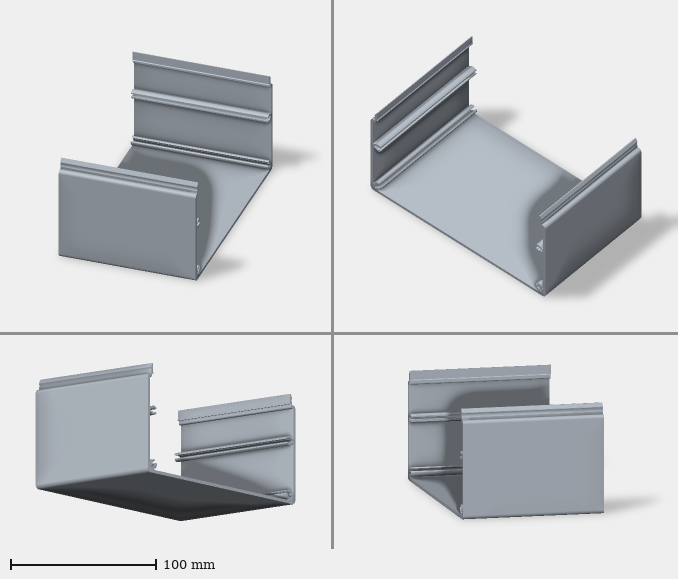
import cadquery as cq

LENGTH = 100.0
WIDTH = 160.0
HEIGHT = 77.0
WALL = 2.2
HALF_WIDTH = WIDTH / 2

BASE_RADIUS = 2.9
SHOULDER_HEIGHT = 69.3
SHOULDER_RADIUS = 2.4
SHOULDER_REACH = 4.5
SHOULDER_INNER_RADIUS = 1.1

TONGUE_OUTER_DEPTH = 3.5
TONGUE_INNER_DEPTH = 5.6
TIP_WIDTH = 0.6
CATCH_TOP = 74.4
CATCH_FACE = 0.5
GROOVE_BOTTOM = 71.0
GROOVE_DEPTH = 0.5
TONGUE_UNDERSIDE = 70.0
SPUR_TOP = 70.7
SPUR_REACH = 0.5
SPUR_TIP_TOP = 70.2
SPUR_TIP_BOTTOM = 69.8

CHANNEL_DEPTH = 6.4
MIDDLE_CHANNEL_HEIGHT = 44.0
BORE_RADIUS = 1.8
JAW_HALF_HEIGHT = 3.2
JAW_RADIUS = 3.5
JAW_REACH = 2.5
MOUTH_HALF_GAP = 1.1
RELIEF_RADIUS = 1.0
RELIEF_REACH = 3.5
NECK_HALF_HEIGHT = 2.0
CORNER_BLOCK = 6.7


def profile():
    """Workplane of the section, at the X-negative end; local axes are Y and Z."""
    return cq.Workplane("YZ", origin=(-LENGTH / 2, 0, 0))


def bar(y_min, y_max, z_min, z_max):
    """Full-length rectangular bar."""
    outline = profile().moveTo(y_min, z_min).lineTo(y_max, z_min).lineTo(y_max, z_max).lineTo(y_min, z_max)
    return outline.close().extrude(LENGTH)


def rod(y, z, radius):
    """Full-length round bar."""
    return profile().center(y, z).circle(radius).extrude(LENGTH)


def make_base():
    """Floor, both walls and the inward-turned shoulders."""
    shell = bar(-HALF_WIDTH, HALF_WIDTH, 0, SHOULDER_HEIGHT)
    shell = shell.edges("|X and <Z").fillet(BASE_RADIUS)
    shell = shell.edges("|X and >Z").fillet(SHOULDER_RADIUS)
    inner_half_width = HALF_WIDTH - WALL
    cavity = bar(-inner_half_width, inner_half_width, WALL, SHOULDER_HEIGHT - WALL)
    opening_half_width = HALF_WIDTH - SHOULDER_REACH
    opening = bar(-opening_half_width, opening_half_width, WALL, SHOULDER_HEIGHT)
    shell = shell.cut(cavity).cut(opening)
    shoulder_corners = cq.selectors.BoxSelector(
        (-LENGTH, -opening_half_width - SHOULDER_INNER_RADIUS, SHOULDER_HEIGHT - WALL - SHOULDER_INNER_RADIUS),
        (LENGTH, opening_half_width + SHOULDER_INNER_RADIUS, SHOULDER_HEIGHT - WALL + SHOULDER_INNER_RADIUS),
    )
    return shell.edges("|X").edges(shoulder_corners).fillet(SHOULDER_INNER_RADIUS)


def make_tongue():
    """Snap tongue of the Y-negative wall: lead-in slope, catch, round groove and inner spur."""
    outer = -HALF_WIDTH + TONGUE_OUTER_DEPTH
    inner = -HALF_WIDTH + TONGUE_INNER_DEPTH
    root_inner = -HALF_WIDTH + SHOULDER_REACH
    root_bottom = SHOULDER_HEIGHT - WALL / 2
    groove_top = CATCH_TOP - CATCH_FACE
    groove_middle = (groove_top + GROOVE_BOTTOM) / 2
    return (
        profile()
        .moveTo(outer, root_bottom)
        .lineTo(outer, GROOVE_BOTTOM)
        .threePointArc((outer + GROOVE_DEPTH, groove_middle), (outer, groove_top))
        .lineTo(outer, CATCH_TOP)
        .lineTo(inner - TIP_WIDTH, HEIGHT)
        .lineTo(inner, HEIGHT)
        .lineTo(inner, SPUR_TOP)
        .lineTo(inner + SPUR_REACH, SPUR_TIP_TOP)
        .lineTo(inner + SPUR_REACH, SPUR_TIP_BOTTOM)
        .lineTo(inner, TONGUE_UNDERSIDE)
        .lineTo(root_inner, TONGUE_UNDERSIDE)
        .lineTo(root_inner, root_bottom)
        .close()
        .extrude(LENGTH)
    )


def make_jaws():
    """Channel jaws about the X axis with the mouth toward +Y, before the bore is cut."""
    arc_offset = JAW_RADIUS - JAW_HALF_HEIGHT
    lens = rod(0, -arc_offset, JAW_RADIUS).intersect(rod(0, arc_offset, JAW_RADIUS))
    return lens.intersect(bar(-JAW_RADIUS, JAW_REACH, -JAW_HALF_HEIGHT, JAW_HALF_HEIGHT))


def make_channel_opening():
    """Bore, mouth and rear relief slot of a channel about the X axis."""
    relief_centre = RELIEF_RADIUS - RELIEF_REACH
    mouth = bar(0, JAW_RADIUS, -MOUTH_HALF_GAP, MOUTH_HALF_GAP)
    relief = bar(relief_centre, 0, -RELIEF_RADIUS, RELIEF_RADIUS).union(rod(relief_centre, 0, RELIEF_RADIUS))
    return rod(0, 0, BORE_RADIUS).union(mouth).union(relief)


def add_channel(body, support, height, tilt):
    """Add a channel on its support; tilt turns the mouth upward from +Y, in degrees."""
    def place(shape):
        turned = shape.rotate((0, 0, 0), (1, 0, 0), tilt)
        return turned.translate((0, CHANNEL_DEPTH - HALF_WIDTH, height))

    return body.union(support).union(place(make_jaws())).cut(place(make_channel_opening()))


def make_side_details():
    """Everything attached to the Y-negative wall, with a strip of the wall as carrier."""
    wall_mid = -HALF_WIDTH + WALL / 2
    details = bar(wall_mid, -HALF_WIDTH + WALL, BASE_RADIUS, SHOULDER_HEIGHT - WALL)
    neck = bar(
        wall_mid,
        -HALF_WIDTH + CHANNEL_DEPTH,
        MIDDLE_CHANNEL_HEIGHT - NECK_HALF_HEIGHT,
        MIDDLE_CHANNEL_HEIGHT + NECK_HALF_HEIGHT,
    )
    details = add_channel(details, neck, MIDDLE_CHANNEL_HEIGHT, 0)
    corner = bar(wall_mid, -HALF_WIDTH + CORNER_BLOCK, WALL / 2, CORNER_BLOCK)
    details = add_channel(details, corner, CHANNEL_DEPTH, 45)
    return details.union(make_tongue())


side = make_side_details()
result = make_base().union(side).union(side.mirror("XZ"))